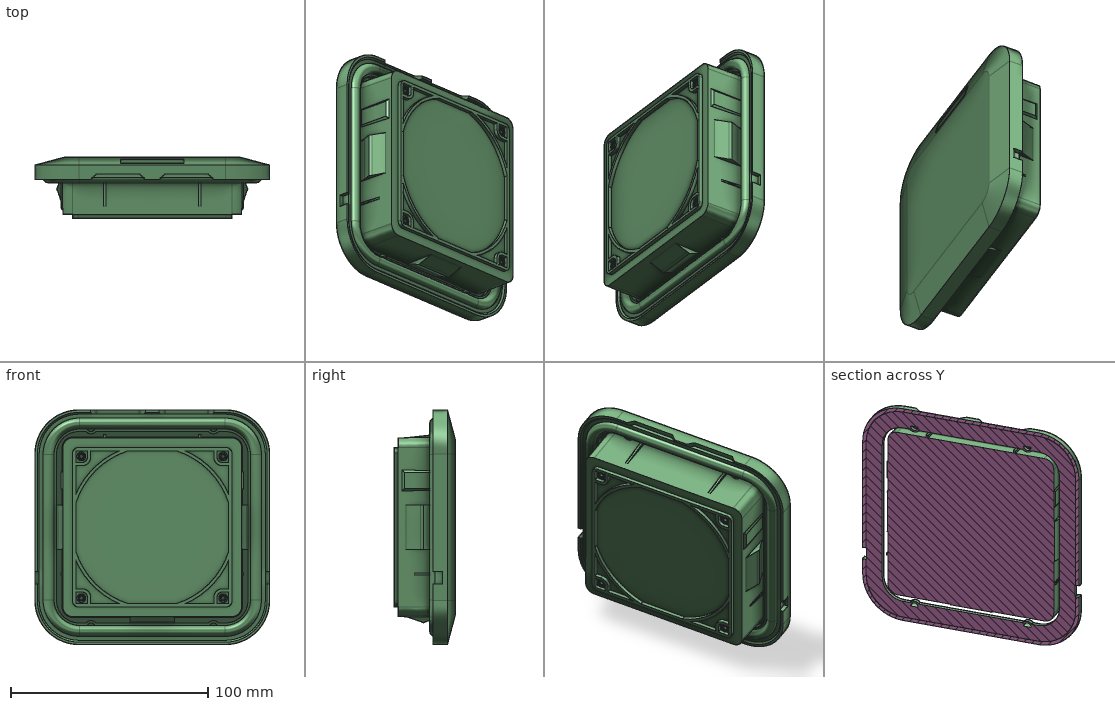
import cadquery as cq
import math


cover_half = 59.5
corner_centre = 37.1
rim_depth = 7.4
bevel_depth = 4.0
bevel_width = 15.0
pocket_depth = 5.0
pocket_mouth_half = 58.2
mouth_bevel = 0.9
pocket_half = pocket_mouth_half - mouth_bevel

pry_notch_depth = 2.9
pry_notch_inner_x = 3.5
pry_notch_outer_x = 31.2
pry_notch_slope = 2.9
pry_notch_rounding = 1.0
window_depth = 4.9
window_height = 6.2
window_z = -25.6

panel_length = 32.0
panel_width = 8.0
panel_recess = 0.3
panel_rounding = 1.0

flange_back = 1.0
channel_floor = 3.8
lip_half = 48.5
lip_width = 1.2
notch_x = 31.0
bump_radius = 3.1
bump_centre = lip_half + 1.9

gasket_line = 52.55
gasket_corner = 15.8
gasket_radius = 2.8
gasket_centre_y = 1.2

box_half = 45.3
box_draft = 0.4
box_corner = 5.0
box_back = -17.6

frame_half = 40.4
frame_corner = 3.0
frame_height = 2.0
frame_back = box_back - frame_height
frame_wall = 1.65
field_half = frame_half - frame_wall
field_corner = 0.5
disc_radius = 40.6
ring_radius = 42.2

pad_wall_edge = 31.2
pad_wall_radius = 4.3
screw_pocket_edge = pad_wall_edge + frame_wall
screw_pocket_radius = pad_wall_radius - frame_wall
screw_place = 35.9
screw_boss_radius = 2.2
screw_boss_height = 1.0
screw_recess_radius = 1.6
screw_recess_depth = 0.6
screw_hole_radius = 1.0
screw_hole_depth = 3.0

latch_width = 22.3
latch_reach = 48.4
latch_end = -13.7
latch_profile = [
    (channel_floor, 45.8),
    (0.0, 46.6),
    (-4.8, latch_reach),
    (-6.2, 47.8),
    (latch_end, box_half),
]

top_rib_x = 24.0
top_rib_width = 1.3
top_rib_reach = 46.9
top_rib_end = -14.0
side_rib_z = -23.8
side_rib_width = 1.0
side_rib_reach = 46.3
side_rib_end = -10.8
side_pad_z = 23.7
side_pad_width = 10.8
side_pad_end = -15.7
side_pad_height = 0.9
side_pad_bevel = 1.3

feature_root = box_half - 2.0


def slab(half, radius, front, back):
    """Square plate with rounded corners between two Y levels."""
    plate = cq.Workplane("XZ", origin=(0, front, 0)).rect(2 * half, 2 * half).extrude(front - back)
    return plate.edges("|Y").fillet(radius)


def ring_slab(half, front, back):
    """Plate whose corners share the common corner centre."""
    return slab(half, half - corner_centre, front, back)


def sloped_slab(front_half, front, back_half, back):
    """Plate whose outline grows evenly from front to back, keeping the common corner centre."""
    taper = math.degrees(math.atan((back_half - front_half) / (front - back)))
    plate = cq.Sketch().rect(2 * front_half, 2 * front_half).vertices().fillet(front_half - corner_centre)
    return cq.Workplane("XZ", origin=(0, front, 0)).placeSketch(plate).extrude(front - back, taper=-taper)


def cylinder(radius, x, z, front, back):
    """Round bar along Y."""
    return cq.Workplane("XZ", origin=(x, front, z)).circle(radius).extrude(front - back)


def prism(points, width, centre):
    """Prism with a (Y, Z) outline, centred across X."""
    return cq.Workplane("YZ", origin=(centre - width / 2, 0, 0)).polyline(points).close().extrude(width)


def turn(shape, angle):
    """Turn a feature built on the +Z side about the Y axis; 90 brings it to +X."""
    return shape.rotate((0, 0, 0), (0, 1, 0), angle)


def make_pry_notch(side):
    """Trapezoid opening in the top of the rim, right (+1) or left (-1) of the middle."""
    points = [
        (side * pry_notch_inner_x, 0),
        (side * (pry_notch_inner_x + pry_notch_slope), pry_notch_depth),
        (side * (pry_notch_outer_x - pry_notch_slope), pry_notch_depth),
        (side * pry_notch_outer_x, 0),
    ]
    notch = cq.Workplane("XY", origin=(0, 0, pocket_half)).polyline(points).close()
    notch = notch.extrude(cover_half - pocket_half)
    return notch.edges("|Z").edges(">Y").fillet(pry_notch_rounding)


def make_name_panel():
    """Shallow rounded recess across the top bevel."""
    slope = math.degrees(math.atan(bevel_width / bevel_depth))
    panel = cq.Workplane("XY").box(panel_length, panel_width, 2 * panel_recess)
    panel = panel.edges("|Z").fillet(panel_rounding)
    panel = panel.rotate((0, 0, 0), (1, 0, 0), -slope)
    middle_y = rim_depth + bevel_depth / 2
    middle_z = cover_half - bevel_width / 2
    return panel.translate((0, middle_y, middle_z))


def make_cover():
    front = rim_depth + bevel_depth
    body = ring_slab(cover_half, rim_depth, 0)
    body = body.union(sloped_slab(cover_half - bevel_width, front, cover_half, rim_depth))
    body = body.cut(ring_slab(pocket_half, pocket_depth, 0))
    body = body.cut(sloped_slab(pocket_half, mouth_bevel, pocket_mouth_half, 0))
    for side in (-1, 1):
        body = body.cut(make_pry_notch(side))
        window_x = side * (cover_half + pocket_half) / 2
        window = cq.Workplane("XY").box(cover_half - pocket_half, window_depth, window_height)
        body = body.cut(window.translate((window_x, window_depth / 2, window_z)))
    return body.cut(make_name_panel())


def make_flange():
    """Plate in the cover pocket, with a channel between its lip and the box."""
    body = ring_slab(pocket_half, pocket_depth, flange_back)
    channel = ring_slab(lip_half, channel_floor, flange_back)
    recesses = []
    for x in (-notch_x, notch_x):
        for z in (-bump_centre, bump_centre):
            channel = channel.cut(cylinder(bump_radius, x, z, channel_floor, flange_back))
            recesses.append(cylinder(bump_radius - lip_width, x, z, channel_floor, flange_back))
    body = body.cut(channel)
    for recess in recesses:
        body = body.cut(recess)
    return body


def make_gasket_bead():
    """Round bead along the flange; its inner part merges with the flange."""
    path = cq.Workplane("XZ", origin=(0, gasket_centre_y, 0)).rect(2 * gasket_line, 2 * gasket_line)
    path = path.extrude(1).edges("|Y").fillet(gasket_corner).faces(">Y").wires()
    profile = cq.Workplane("YZ", origin=(0, gasket_centre_y, gasket_line)).circle(gasket_radius)
    return profile.sweep(path)


def make_box():
    taper = math.degrees(math.atan(box_draft / (pocket_depth - box_back)))
    outline = cq.Sketch().rect(2 * box_half, 2 * box_half).vertices().fillet(box_corner)
    body = cq.Workplane("XZ", origin=(0, box_back, 0)).placeSketch(outline)
    return body.extrude(box_back - pocket_depth, taper=-taper)


def make_latch():
    points = [(channel_floor, feature_root), *latch_profile, (latch_end, feature_root)]
    return prism(points, latch_width, 0)


def make_rib(position, width, reach, end):
    """Rib that fades into the box wall towards the back."""
    points = [
        (channel_floor, feature_root),
        (channel_floor, reach),
        (0, reach),
        (end, box_half),
        (end, feature_root),
    ]
    return prism(points, width, position)


def make_side_pad(position):
    """Raised pad with bevelled edges, built on the +Z side."""
    middle_y = (channel_floor + side_pad_end) / 2
    length = channel_floor - side_pad_end
    pad = cq.Workplane("XY", origin=(position, middle_y, box_half)).rect(side_pad_width, length)
    slope = math.degrees(math.atan(side_pad_bevel / side_pad_height))
    return pad.extrude(side_pad_height, taper=slope)


def make_frame():
    """Square frame with a round field, corner pockets and screw pockets."""
    field = slab(field_half, field_corner, box_back, frame_back)
    ring = cylinder(ring_radius, 0, 0, box_back, frame_back)
    disc = cylinder(disc_radius, 0, 0, box_back, frame_back)
    corner_pockets = field.cut(ring).cut(make_corner_blocks(pad_wall_edge, pad_wall_radius))
    screw_pockets = field.intersect(make_corner_blocks(screw_pocket_edge, screw_pocket_radius))
    body = slab(frame_half, frame_corner, box_back, frame_back)
    return body.cut(field.intersect(disc)).cut(corner_pockets).cut(screw_pockets)


def make_corner_blocks(edge, radius):
    """Four blocks that fill the corners of the frame outside the given edge."""
    size = frame_half - edge
    centre = (frame_half + edge) / 2
    block = cq.Workplane("XZ", origin=(centre, box_back, centre)).rect(size, size).extrude(frame_height)
    block = block.edges("|Y and <X and <Z").fillet(radius)
    blocks = block
    for angle in (90, 180, 270):
        blocks = blocks.union(turn(block, angle))
    return blocks


def add_screws(body):
    boss_back = box_back - screw_boss_height
    recess_floor = boss_back + screw_recess_depth
    hole_floor = boss_back + screw_hole_depth
    for x in (-screw_place, screw_place):
        for z in (-screw_place, screw_place):
            body = body.union(cylinder(screw_boss_radius, x, z, box_back, boss_back))
            body = body.cut(cylinder(screw_recess_radius, x, z, recess_floor, boss_back))
            body = body.cut(cylinder(screw_hole_radius, x, z, hole_floor, boss_back))
    return body


def make_base():
    body = make_flange().union(make_gasket_bead()).union(make_box()).union(make_frame())
    for angle in (-90, 90, 180):
        body = body.union(turn(make_latch(), angle))
    for x in (-top_rib_x, top_rib_x):
        body = body.union(make_rib(x, top_rib_width, top_rib_reach, top_rib_end))
    for side in (-1, 1):
        side_rib = make_rib(-side * side_rib_z, side_rib_width, side_rib_reach, side_rib_end)
        body = body.union(turn(side_rib, side * 90))
        body = body.union(turn(make_side_pad(-side * side_pad_z), side * 90))
    return add_screws(body)


cover = make_cover()
base = make_base()
result = cq.Compound.makeCompound([cover.solids().val(), base.solids().val()])